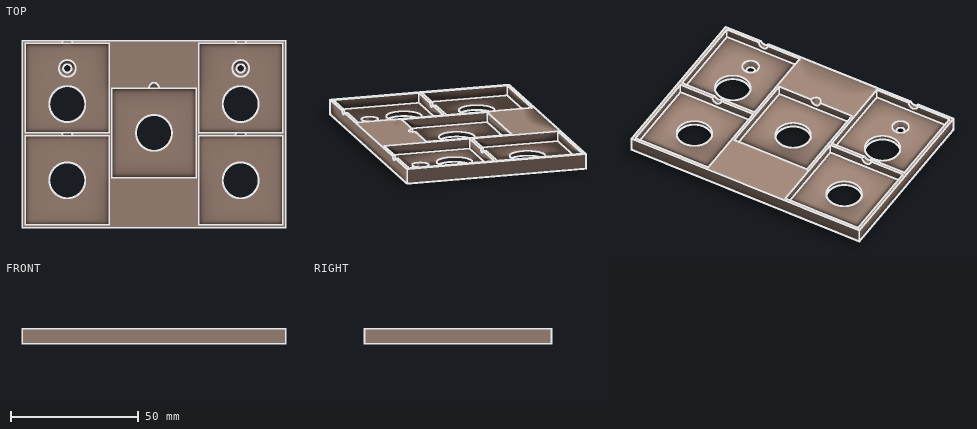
import cadquery as cq
import math

pocket_width = 33.0
pocket_length = 35.0
floor_thickness = 2.0
pocket_depth = 4.0

side_wall = 1.2
column_wall = 1.0
end_wall = 1.1
row_wall = 1.2

tray_length = 3 * pocket_width + 2 * column_wall + 2 * side_wall
tray_width = 2 * pocket_length + row_wall + 2 * end_wall
tray_height = floor_thickness + pocket_depth

column_x = pocket_width + column_wall
row_y = (pocket_length + row_wall) / 2
center_pocket_y = 0.5

opening_diameter = 14.0
rear_opening_y = 11.8

screw_y = 25.8
screw_diameter = 3.2
screw_head_diameter = 6.6

notch_radius = 2.2
notch_tilt = 45.0
notch_reach = 2.2
notch_bar_length = 20.0

corner_columns = (-column_x, column_x)
pocket_centers = [(x, y) for x in corner_columns for y in (-row_y, row_y)] + [(0, center_pocket_y)]
opening_centers = [(x, y) for x in corner_columns for y in (-row_y, rear_opening_y)] + [(0, center_pocket_y)]
screw_centers = [(x, screw_y) for x in corner_columns]


def make_plate():
    return cq.Workplane("XY").box(tray_length, tray_width, tray_height, centered=(True, True, False))


def cut_pockets(body):
    top = body.faces(">Z").workplane(origin=(0, 0, tray_height))
    return top.pushPoints(pocket_centers).rect(pocket_width, pocket_length).cutBlind(-pocket_depth)


def cut_openings(body):
    floor = cq.Workplane("XY").pushPoints(opening_centers)
    return body.cut(floor.circle(opening_diameter / 2).extrude(floor_thickness))


def cut_screw_holes(body):
    """Cones that narrow from the pocket floor to the screw diameter at the underside."""
    for center in screw_centers:
        base = cq.Workplane("XY").center(*center).circle(screw_diameter / 2)
        cone = base.workplane(offset=floor_thickness).circle(screw_head_diameter / 2).loft()
        body = body.cut(cone)
    return body


def cut_notches(body):
    """Inclined cylinders that climb rearward out of each pocket and end at the rim behind its rear face."""
    axis_offset = notch_reach - notch_radius / math.sin(math.radians(notch_tilt))
    bar = cq.Workplane("XZ").circle(notch_radius).extrude(notch_bar_length / 2, both=True)
    bar = bar.rotate((0, 0, 0), (1, 0, 0), notch_tilt)
    behind_face = cq.Workplane("XY").box(
        notch_bar_length, notch_bar_length, notch_bar_length, centered=(True, False, True)
    )
    notch = bar.translate((0, axis_offset, 0)).intersect(behind_face)
    for x, y in pocket_centers:
        body = body.cut(notch.translate((x, y + pocket_length / 2, tray_height)))
    return body


result = make_plate()
result = cut_pockets(result)
result = cut_openings(result)
result = cut_screw_holes(result)
result = cut_notches(result)